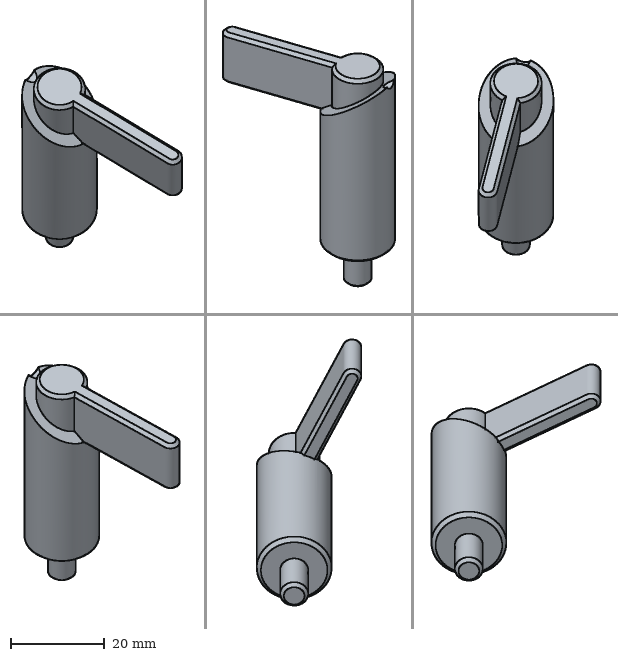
import cadquery as cq
import math

TOTAL_HEIGHT = 56.0
PIN_PROJECTION = 10.0
LEVER_HEIGHT = 13.0
LEVER_BOTTOM = TOTAL_HEIGHT - LEVER_HEIGHT

HOUSING_DIAMETER = 16.0
HOUSING_RADIUS = HOUSING_DIAMETER / 2
HOUSING_PEAK = 54.0
SLOPE_ANGLE = 33.0
HOUSING_LOW_EDGE = HOUSING_PEAK - HOUSING_DIAMETER * math.tan(math.radians(SLOPE_ANGLE))

NOTCH_RADIUS = 1.75
NOTCH_DEPTH = 1.1
NOTCH_LENGTH = 3.35

KNOB_DIAMETER = 11.0
PIN_DIAMETER = 6.0
LEVER_THICKNESS = 4.0
OVERALL_LENGTH = 40.0
LEVER_REACH = OVERALL_LENGTH - HOUSING_RADIUS

FOOT_CHAMFER = 0.9
CHAMFER = 0.8


def make_lever_pin():
    """Knob with a round-ended lever arm and a pin along the axis, all one body."""
    base = cq.Workplane("XY").workplane(offset=LEVER_BOTTOM)
    knob = base.circle(KNOB_DIAMETER / 2).extrude(LEVER_HEIGHT)
    half_thickness = LEVER_THICKNESS / 2
    round_start = LEVER_REACH - half_thickness
    arm = (
        base.moveTo(0, -half_thickness)
        .lineTo(round_start, -half_thickness)
        .threePointArc((LEVER_REACH, 0), (round_start, half_thickness))
        .lineTo(0, half_thickness)
        .close()
        .extrude(LEVER_HEIGHT)
    )
    head = knob.union(arm).faces("<Z or >Z").chamfer(CHAMFER)
    pin = cq.Workplane("XY").circle(PIN_DIAMETER / 2).extrude(LEVER_BOTTOM).faces("<Z").chamfer(CHAMFER)
    return head.union(pin)


def make_housing(lever_pin):
    """Round sleeve with a sloping top, a detent notch and a recess that matches the lever pin."""
    sleeve = (
        cq.Workplane("XY")
        .workplane(offset=PIN_PROJECTION)
        .circle(HOUSING_RADIUS)
        .extrude(HOUSING_PEAK - PIN_PROJECTION)
        .faces("<Z")
        .chamfer(FOOT_CHAMFER)
    )
    above_slope = (
        cq.Workplane("XZ")
        .moveTo(-HOUSING_RADIUS, HOUSING_PEAK)
        .lineTo(HOUSING_RADIUS, HOUSING_LOW_EDGE)
        .lineTo(HOUSING_RADIUS, HOUSING_PEAK)
        .close()
        .extrude(HOUSING_RADIUS, both=True)
    )
    notch = (
        cq.Workplane("YZ")
        .workplane(offset=-HOUSING_RADIUS)
        .center(0, HOUSING_PEAK - NOTCH_DEPTH + NOTCH_RADIUS)
        .circle(NOTCH_RADIUS)
        .extrude(NOTCH_LENGTH)
    )
    return sleeve.cut(above_slope).cut(notch).cut(lever_pin)


lever_pin = make_lever_pin()
housing = make_housing(lever_pin)

result = cq.Compound.makeCompound([housing.val(), lever_pin.val()])